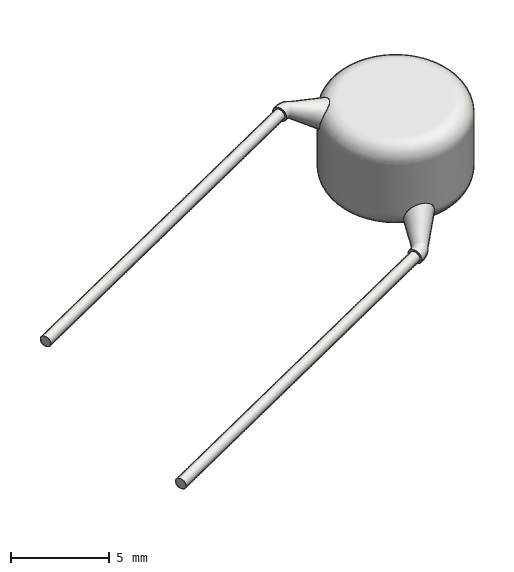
import cadquery as cq
import math


disc_diameter = 8.0
disc_height = 5.45
disc_edge_radius = 1.0
disc_radius = disc_diameter / 2

overall_length = 29.5
lead_diameter = 0.65
lead_spacing_x = 8.32
lead_spacing_z = 5.52
lead_x = -lead_spacing_x / 2
lead_z = lead_spacing_z / 2
lead_end_y = disc_radius - overall_length

outlet_diameter = 0.85
outlet_radius = outlet_diameter / 2
collar_length = 0.2
collar_end_y = -4.37
bend_radius = 0.68
bend_angle = 43.0
bend_tilt = 35.0
neck_length = 2.35
neck_half_angle = 12.0
neck_base_radius = outlet_radius + neck_length * math.tan(math.radians(neck_half_angle))

half_turn = 180.0
y_axis = cq.Vector(0, 1, 0)


def turn_about_y(shape, angle):
    return shape.rotate(cq.Vector(0, 0, 0), y_axis, angle)


def make_disc():
    return (
        cq.Workplane("XY", origin=(0, 0, -disc_height / 2))
        .circle(disc_radius)
        .extrude(disc_height)
        .edges("%CIRCLE")
        .fillet(disc_edge_radius)
    )


def make_outlet():
    """Collar, elbow and neck of the lead at -X, +Z."""
    collar = cq.Solid.makeCylinder(outlet_radius, collar_length, cq.Vector(0, 0, 0), y_axis)

    elbow = (
        cq.Workplane("XZ", origin=(0, collar_length, 0))
        .circle(outlet_radius)
        .revolve(bend_angle, (bend_radius, 0.3, 0), (bend_radius, 0, 0))
        .val()
    )

    angle = math.radians(bend_angle)
    neck_start = cq.Vector(
        bend_radius * (1 - math.cos(angle)),
        collar_length + bend_radius * math.sin(angle),
        0,
    )
    neck_direction = cq.Vector(math.sin(angle), math.cos(angle), 0)
    neck = cq.Solid.makeCone(outlet_radius, neck_base_radius, neck_length, neck_start, neck_direction)

    outlet = cq.Workplane(collar).union(cq.Workplane(elbow)).union(cq.Workplane(neck)).val()
    return turn_about_y(outlet, bend_tilt).translate(cq.Vector(lead_x, collar_end_y, lead_z))


def make_lead():
    """Straight wire at -X, +Z, butting against the end of its collar."""
    return cq.Solid.makeCylinder(
        lead_diameter / 2,
        collar_end_y - lead_end_y,
        cq.Vector(lead_x, lead_end_y, lead_z),
        y_axis,
    )


def make_coated_body():
    body = make_disc()
    for turn in (0, half_turn):
        body = body.union(cq.Workplane(turn_about_y(make_outlet(), turn)))
    return body


coated_body = make_coated_body()
leads = [turn_about_y(make_lead(), turn) for turn in (0, half_turn)]

result = cq.Compound.makeCompound([coated_body.val(), *leads])